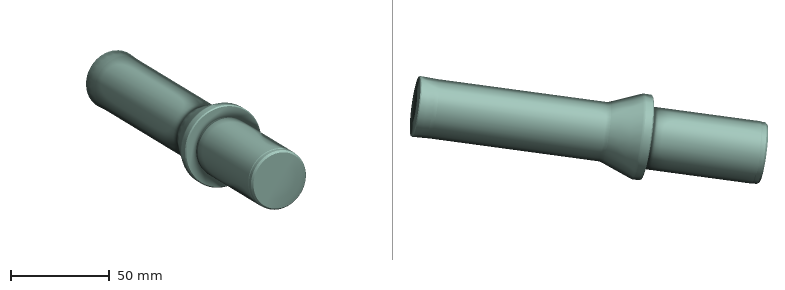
import cadquery as cq

head_diameter = 31.1
head_back_diameter = 30.6
shaft_diameter = 30.5
shank_diameter = 32.0
flange_diameter = 44.0
relief_diameter = 31.5
cone_start_diameter = 31.1
cone_end_diameter = 43.4
tip_flat_diameter = 12.0
tip_foot_diameter = 13.7
tip_crest_diameter = 16.2
tip_ring_diameter = 18.0
tip_edge_diameter = 30.6

overall_length = 180.0
tip_recess_depth = 0.5
tip_foot_x = 0.45
tip_crest_x = 0.09
tip_edge_x = 0.5
tip_bevel_end_x = 1.0
head_end_x = 7.7
neck_end_x = 9.9
blend_start_x = 96.7
cone_start_x = 98.8
cone_end_x = 114.5
flange_start_x = 115.5
flange_end_x = 119.9
relief_end_x = 121.0
shank_start_x = 122.0
end_step_x = 176.2
end_band_x = 176.8
end_chamfer_x = 179.0

flange_chamfer = 0.5
end_band_step = 0.2
end_chamfer_depth = 1.0


def revolve_about_x(profile):
    """Revolve a closed half profile (X, radius) around the X axis."""
    return profile.close().revolve(360, (0, 0, 0), (1, 0, 0))


def make_head():
    """Back-tapered head with a shallow conical face and a dished centre."""
    return revolve_about_x(
        cq.Workplane("XY")
        .moveTo(tip_recess_depth, 0)
        .lineTo(tip_recess_depth, tip_flat_diameter / 2)
        .tangentArcPoint((tip_foot_x, tip_foot_diameter / 2), relative=False)
        .lineTo(tip_crest_x, tip_crest_diameter / 2)
        .tangentArcPoint((0, tip_ring_diameter / 2), relative=False)
        .lineTo(tip_edge_x, tip_edge_diameter / 2)
        .lineTo(tip_bevel_end_x, head_diameter / 2)
        .lineTo(head_end_x, head_back_diameter / 2)
        .lineTo(head_end_x, 0)
    )


def make_holder():
    """Shaft, conical flange and shank in one turned piece."""
    shaft_radius = shaft_diameter / 2
    flange_radius = flange_diameter / 2
    shank_radius = shank_diameter / 2
    return revolve_about_x(
        cq.Workplane("XY")
        .moveTo(head_end_x, 0)
        .lineTo(head_end_x, head_back_diameter / 2)
        .lineTo(neck_end_x, shaft_radius)
        .lineTo(blend_start_x, shaft_radius)
        .tangentArcPoint((cone_start_x, cone_start_diameter / 2), relative=False)
        .lineTo(cone_end_x, cone_end_diameter / 2)
        .tangentArcPoint((flange_start_x, flange_radius), relative=False)
        .lineTo(flange_end_x - flange_chamfer, flange_radius)
        .lineTo(flange_end_x, flange_radius - flange_chamfer)
        .lineTo(flange_end_x, relief_diameter / 2)
        .lineTo(relief_end_x, relief_diameter / 2)
        .lineTo(shank_start_x, shank_radius)
        .lineTo(end_step_x, shank_radius)
        .lineTo(end_band_x, shank_radius - end_band_step)
        .lineTo(end_chamfer_x, shank_radius - end_band_step)
        .lineTo(overall_length, shank_radius - end_chamfer_depth)
        .lineTo(overall_length, 0)
    )


head = make_head()
holder = make_holder()

result = cq.Compound.makeCompound([head.val(), holder.val()])